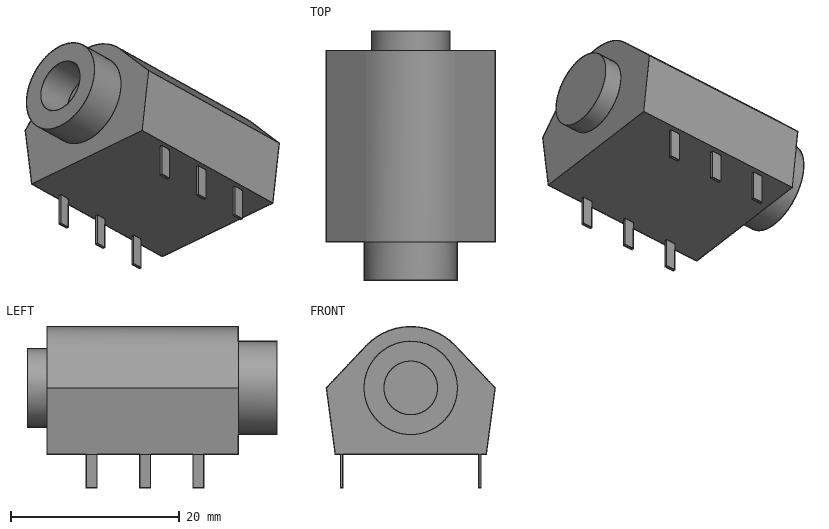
import cadquery as cq
import math


block_width = 20.1
block_base_width = 18.0
block_length = 22.78
crown_radius = 7.3
base_drop = 7.9

nose_diameter = 11.1
nose_length = 4.6
socket_diameter = 6.4
socket_depth = nose_length
rear_boss_diameter = 9.4
overall_length = 29.7
rear_boss_length = overall_length - nose_length - block_length

overall_height = 19.2
pin_length = overall_height - crown_radius - base_drop
pin_thickness = 0.3
pin_width = 1.3
pin_row_spacing = 16.45
pin_pitch = 6.35
middle_pin_y = 11.1
pins_per_row = 3


def y_cylinder(diameter, start_y, length):
    """Cylinder on the socket axis, running toward +Y from start_y."""
    return (
        cq.Workplane("XZ", origin=(0, start_y, 0))
        .circle(diameter / 2)
        .extrude(-length)
    )


def make_block():
    """Prism whose sloping shoulders run tangent into a round crown."""
    half_width = block_width / 2
    half_base = block_base_width / 2
    tangent_x = crown_radius**2 / half_width
    tangent_z = math.sqrt(crown_radius**2 - tangent_x**2)
    return (
        cq.Workplane("XZ")
        .moveTo(-half_base, -base_drop)
        .lineTo(half_base, -base_drop)
        .lineTo(half_width, 0)
        .lineTo(tangent_x, tangent_z)
        .threePointArc((0, crown_radius), (-tangent_x, tangent_z))
        .lineTo(-half_width, 0)
        .close()
        .extrude(-block_length)
    )


def make_housing():
    """Block with a nose in front, a boss behind and a blind socket."""
    nose = y_cylinder(nose_diameter, -nose_length, nose_length)
    rear_boss = y_cylinder(rear_boss_diameter, block_length, rear_boss_length)
    socket = y_cylinder(socket_diameter, -nose_length, socket_depth)
    return make_block().union(nose).union(rear_boss).cut(socket)


def make_pin(x, y):
    """Flat pin hanging from the housing base."""
    return (
        cq.Workplane("XY", origin=(x, y, -base_drop))
        .rect(pin_thickness, pin_width)
        .extrude(-pin_length)
    )


housing = make_housing()

pins = []
for side in (-1, 1):
    for index in range(pins_per_row):
        pin_x = side * pin_row_spacing / 2
        pin_y = middle_pin_y + (index - (pins_per_row - 1) / 2) * pin_pitch
        pins.append(make_pin(pin_x, pin_y).val())

result = cq.Compound.makeCompound([housing.val(), *pins])